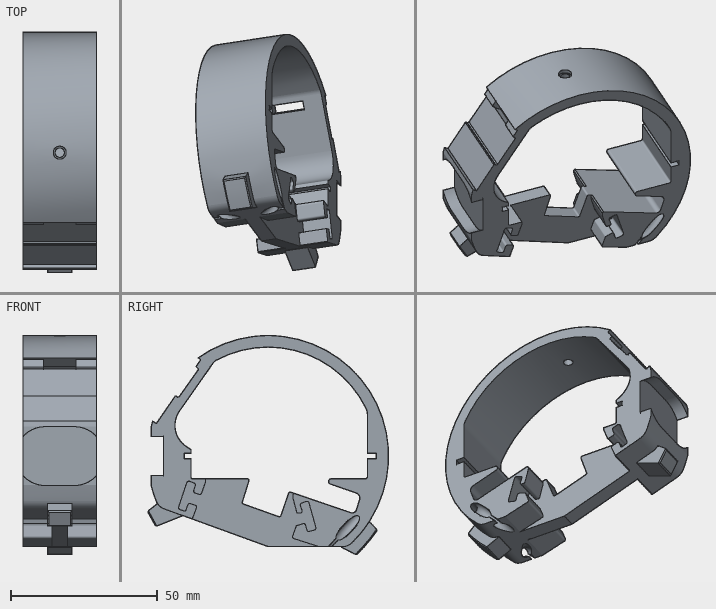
import cadquery as cq
import math

WIDTH = 25.04
OUTER_RADIUS = 41.0
WALL = 4.0
INNER_RADIUS = OUTER_RADIUS - WALL
BIG = 2 * OUTER_RADIUS

BASE_Z = -30.8
SLANT = math.radians(20)
BASE_CORNER_RADIUS = 4.6

PAD_HALF_HEIGHT = 10.0
PAD_W = math.sqrt(OUTER_RADIUS**2 - PAD_HALF_HEIGHT**2)
POCKET_LENGTH = 30.0
POCKET_FLOOR_W = 35.55

BACK_WALL_W = -33.74
FRONT_WALL_W = 26.14
SHELF_Z = -7.7
GROOVE_HEIGHT = 1.8
BACK_GROOVE_W = -36.75
FRONT_GROOVE_W = 28.45
CEILING_BACK_RADIUS = 5.0
CEILING_FRONT_RADIUS = 3.0
CEILING_FRONT_CORNER = (18.2, 32.2)

BRIDGE_WIDTH = 5.25

WINDOW_WIDTH = 11.2
WINDOW_DEPTH = 8.0

HOLE_DIAMETER = 3.2
COUNTERBORE_DIAMETER = 4.4
COUNTERBORE_DEPTH = 1.3

KEY_WIDTH = 8.2
KEY_CHAMFER = 0.4
CHANNEL_DIAMETER = 3.5
CHANNEL_RING_RADIUS = 11.9
CHANNEL_CENTRE = (-27.1, -24.4)
CHANNEL_TILT = 46.5
SLIT_WIDTH = 0.9
SLIT_RADIUS = 16.0

LIP_INNER = (22.89, 32.76)
RIDGE_TOP = (24.5, 30.45)
RIDGE_FOOT = (23.61, 29.54)
STEP_FOOT = (30.21, 20.2)
FRONT_FACE_OUTLINE = [
    (25.5, 34.56, 0),
    LIP_INNER + (0,),
    RIDGE_TOP + (0.3,),
    RIDGE_FOOT + (0,),
    STEP_FOOT + (0,),
    (30.8, 20.05, 0),
    (31.15, 20.5, 0),
    (31.56, 20.44, 0),
    (37.96, 11.11, 0),
    (41.0, 13.0, 0),
    (BIG, 13.0, 0),
    (BIG, 34.56, 0),
]

OPENING_OUTLINE = [
    (14.78, 37.14, 0),
    (35.16, 8.05, 8.6),
    (FRONT_WALL_W, 2.2, 0.5),
    (FRONT_WALL_W, SHELF_Z, 0.5),
    (6.25, SHELF_Z, 0.6),
    (8.85, -16.1, 0.5),
    (-4.15, -20.75, 0.6),
    (-7.15, -12.05, 0.6),
    (-29.55, -19.7, 1.5),
    (-31.6, -13.15, 1.8),
    (-20.6, -9.35, 0.85),
    (-20.6, SHELF_Z, 0.85),
    (BACK_WALL_W, SHELF_Z, 0.65),
    (BACK_WALL_W, 37.14, 0),
]

BACK_JOINT = [
    (-9.2, -5.0, 0),
    (-9.2, -12.3, 0),
    (-8.4, -13.1, 0),
    (-8.45, -14.2, 0),
    (-9.85, -19.5, 0.6),
    (-11.8, -19.2, 0.6),
    (-10.75, -16.2, 0.7),
    (-13.7, -15.15, 0.7),
    (-16.45, -25.0, 0.8),
    (-13.4, -25.75, 0.6),
    (-12.55, -22.75, 0.7),
    (-9.6, -23.7, 0.5),
    (-8.15, -27.85, 0.7),
    (-21.15, -32.0, 0),
    (-21.15, -35.0, 0),
]
FRONT_JOINT = [
    (21.2, -5.0, 0),
    (21.2, -8.6, 0.5),
    (22.8, -13.2, 0.7),
    (25.45, -12.35, 0.7),
    (24.55, -9.35, 0.7),
    (27.4, -8.3, 0.8),
    (30.6, -17.9, 0.7),
    (28.1, -18.9, 0.6),
    (27.05, -15.95, 0.7),
    (24.1, -16.95, 0.6),
    (25.65, -21.1, 0),
    (25.65, -35.0, 0),
]

FRONT_KEY_OUTER_EDGE = [(41.0, -18.8), (38.17, -23.95)]
FRONT_KEY_ROOTS = [(29.31, -20.42), (34.0, -13.35)]
BACK_KEY_TOP = (-37.2, -25.15)
BACK_KEY_BULGE = (-33.85, -29.55)
BACK_KEY_BOTTOM = (-30.04, -33.63)
BACK_KEY_ROOTS = [(-24.9, -31.0), (-26.0, -26.0), (-34.0, -21.85)]


def profile_plane():
    """Plane whose local axes are w (= -Y) and Z, centred on the width; its normal is -X."""
    return cq.Workplane(cq.Plane(origin=(0, 0, 0), xDir=(0, -1, 0), normal=(-1, 0, 0)))


def rounded_outline(corners):
    """Closed outline through (w, z, radius) corners, each rounded by a tangent arc."""
    path = profile_plane()
    for index, (w, z, radius) in enumerate(corners):
        before = corners[index - 1]
        after = corners[(index + 1) % len(corners)]
        corner = cq.Vector(w, z)
        to_before = (cq.Vector(before[0], before[1]) - corner).normalized()
        to_after = (cq.Vector(after[0], after[1]) - corner).normalized()
        half_angle = to_before.getAngle(to_after) / 2
        setback = radius / math.tan(half_angle)
        arc_start = corner + to_before * setback
        go_to = path.moveTo if index == 0 else path.lineTo
        path = go_to(arc_start.x, arc_start.y)
        if radius > 0:
            bisector = (to_before + to_after).normalized()
            arc_middle = corner + bisector * (radius / math.sin(half_angle) - radius)
            arc_end = corner + to_after * setback
            path = path.threePointArc((arc_middle.x, arc_middle.y), (arc_end.x, arc_end.y))
    return path.close()


def block(w_min, w_max, z_min, z_max):
    """Full-width rectangular block."""
    centre = ((w_min + w_max) / 2, (z_min + z_max) / 2)
    return profile_plane().center(*centre).rect(w_max - w_min, z_max - z_min).extrude(WIDTH, both=True)


def edges_near(body, w, z, size=1.5):
    """Edges along X within `size` of the point (w, z)."""
    corner_a = (-WIDTH, -w - size, z - size)
    corner_b = (WIDTH, -w + size, z + size)
    return body.edges("|X").edges(cq.selectors.BoxSelector(corner_a, corner_b))


def outer_body():
    """Disc with a flat and slanted base and a flat front pad."""
    disc = profile_plane().circle(OUTER_RADIUS).extrude(WIDTH / 2, both=True)
    slant_end_z = BASE_Z + BIG * math.tan(SLANT)
    keep = [
        (-BIG, BASE_Z, 0),
        (0, BASE_Z, 0),
        (BIG, slant_end_z, 0),
        (BIG, BIG, 0),
        (-BIG, BIG, 0),
    ]
    body = disc.intersect(rounded_outline(keep).extrude(WIDTH, both=True))
    back_corner_w = -math.sqrt(OUTER_RADIUS**2 - BASE_Z**2)
    body = edges_near(body, back_corner_w, BASE_Z).fillet(BASE_CORNER_RADIUS)

    slope_offset = BASE_Z * math.cos(SLANT)
    along = math.sqrt(OUTER_RADIUS**2 - slope_offset**2)
    front_w = along * math.cos(SLANT) - slope_offset * math.sin(SLANT)
    front_z = along * math.sin(SLANT) + slope_offset * math.cos(SLANT)
    body = edges_near(body, front_w, front_z).fillet(BASE_CORNER_RADIUS)
    return body.cut(block(PAD_W, BIG, -PAD_HALF_HEIGHT, PAD_HALF_HEIGHT))


def opening():
    """Inner space of the clamp with its two wall grooves."""
    inner_disc = profile_plane().circle(INNER_RADIUS).extrude(WIDTH, both=True)
    space = rounded_outline(OPENING_OUTLINE).extrude(WIDTH, both=True).intersect(inner_disc)
    ceiling_back_z = math.sqrt(INNER_RADIUS**2 - BACK_WALL_W**2)
    space = edges_near(space, BACK_WALL_W, ceiling_back_z).fillet(CEILING_BACK_RADIUS)
    space = edges_near(space, *CEILING_FRONT_CORNER).fillet(CEILING_FRONT_RADIUS)
    grooves = block(BACK_GROOVE_W, FRONT_GROOVE_W, -GROOVE_HEIGHT / 2, GROOVE_HEIGHT / 2)
    return space.union(grooves)


def pocket():
    """Round-ended pocket in the front pad, longer than the part is wide."""
    floor_plane = cq.Workplane("XZ", origin=(0, -POCKET_FLOOR_W, 0))
    depth = OUTER_RADIUS - POCKET_FLOOR_W
    return floor_plane.slot2D(POCKET_LENGTH, 2 * PAD_HALF_HEIGHT).extrude(depth)


def bridge_clearance():
    """Space on both sides of the bridge, between the two hooked joint lines."""
    region = rounded_outline(BACK_JOINT + FRONT_JOINT[::-1])
    return region.extrude(WIDTH, both=True).cut(cq.Workplane().box(BRIDGE_WIDTH, 2 * BIG, 2 * BIG))


def window():
    """Slot through the slanted wall between the upper lip and the foot of the ridge."""
    run = STEP_FOOT[0] - RIDGE_FOOT[0]
    drop = RIDGE_FOOT[1] - STEP_FOOT[1]
    length = math.hypot(run, drop)
    inward = (-drop / length * WINDOW_DEPTH, -run / length * WINDOW_DEPTH)
    outline = [
        LIP_INNER,
        RIDGE_TOP,
        RIDGE_FOOT,
        (RIDGE_FOOT[0] + inward[0], RIDGE_FOOT[1] + inward[1]),
        (LIP_INNER[0] + inward[0], LIP_INNER[1] + inward[1]),
    ]
    return profile_plane().polyline(outline).close().extrude(WINDOW_WIDTH / 2, both=True)


def crown_hole():
    """Stepped hole down through the top of the ring."""
    top = cq.Workplane("XY", origin=(0, 0, OUTER_RADIUS))
    bore = top.circle(HOLE_DIAMETER / 2).extrude(-2 * WALL)
    return bore.union(top.circle(COUNTERBORE_DIAMETER / 2).extrude(-COUNTERBORE_DEPTH))


def channel():
    """Ring-shaped channel that breaks out of both side faces, with a slit to the base."""
    tilt = math.radians(CHANNEL_TILT)
    plane = cq.Plane(
        origin=(0, -CHANNEL_CENTRE[0], CHANNEL_CENTRE[1]),
        xDir=(1, 0, 0),
        normal=(0, math.sin(tilt), -math.cos(tilt)),
    )
    ring = cq.Solid.makeTorus(CHANNEL_RING_RADIUS, CHANNEL_DIAMETER / 2, plane.origin, plane.zDir)
    slit_ring = cq.Workplane(plane).circle(SLIT_RADIUS).circle(CHANNEL_RING_RADIUS)
    slit = slit_ring.extrude(SLIT_WIDTH / 2, both=True)
    lower_half = cq.Workplane(plane).center(0, SLIT_RADIUS).rect(2 * SLIT_RADIUS, 2 * SLIT_RADIUS)
    return slit.intersect(lower_half.extrude(SLIT_WIDTH, both=True)).union(cq.Workplane(ring))


def bevel_face_at(key, place):
    """Bevel every edge of the key face nearest to the (w, z) place."""
    nearest = cq.selectors.NearestToPointSelector((0, -place[0], place[1]))
    return key.faces(nearest).chamfer(KEY_CHAMFER)


def front_key():
    """Straight key with a bevelled outer face."""
    key = profile_plane().polyline(FRONT_KEY_OUTER_EDGE + FRONT_KEY_ROOTS).close()
    (top_w, top_z), (bottom_w, bottom_z) = FRONT_KEY_OUTER_EDGE
    outer_face = ((top_w + bottom_w) / 2, (top_z + bottom_z) / 2)
    return bevel_face_at(key.extrude(KEY_WIDTH / 2, both=True), outer_face)


def back_key():
    """Key with a slightly bulging, bevelled outer face."""
    outline = profile_plane().moveTo(*BACK_KEY_TOP).threePointArc(BACK_KEY_BULGE, BACK_KEY_BOTTOM)
    for root in BACK_KEY_ROOTS:
        outline = outline.lineTo(*root)
    key = outline.close().extrude(KEY_WIDTH / 2, both=True)
    return bevel_face_at(key, BACK_KEY_BULGE)


front_face = rounded_outline(FRONT_FACE_OUTLINE).extrude(WIDTH, both=True)
result = outer_body()
for removed in (opening(), front_face, pocket(), bridge_clearance(), window(), crown_hole()):
    result = result.cut(removed)
result = result.union(front_key()).union(back_key()).cut(channel())